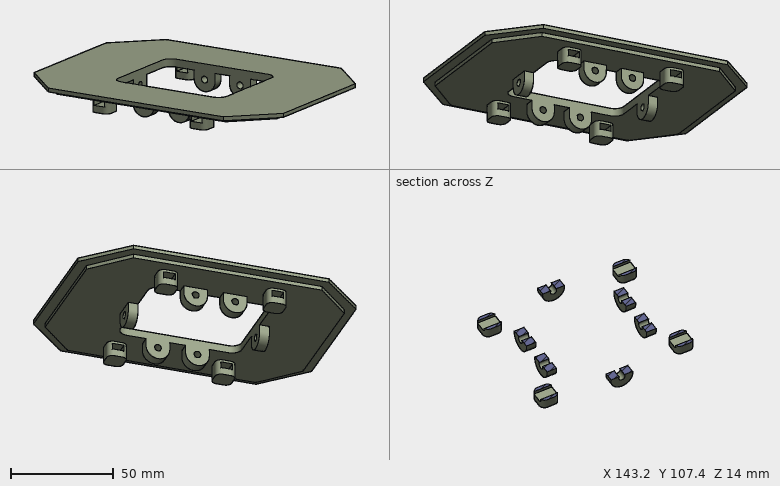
import cadquery as cq

plate_length = 143.2
plate_width = 107.4
plate_thickness = 2.0
plate_corner_x = 21.3
plate_corner_y = 20.9

step_length = 132.7
step_width = 97.2
step_thickness = 2.0
step_corner_x = 17.9
step_corner_y = 18.2
step_bottom = -(plate_thickness + step_thickness)

opening_length = 62.6
opening_width = 50.1
opening_radius = 5.0

total_height = 14.0
lug_width = 12.2
lug_radius = lug_width / 2
lug_hole_diameter = 3.5
lug_hole_z = lug_radius - total_height
long_side_lug_thickness = 5.5
short_side_lug_thickness = 5.0
lug_offset_x = 10.2

post_size = 10.0
post_radius = 3.0
post_height = 8.0
post_x = 27.9
post_y = 37.7
slot_width = 6.0
slot_height = 3.2
slot_depth_below_step = 1.3


def cut_corner_plate(length, width, corner_x, corner_y, top, thickness):
    """Rectangular plate with its four corners cut off, hanging down from z = top."""
    half_x = length / 2
    half_y = width / 2
    inner_x = half_x - corner_x
    inner_y = half_y - corner_y
    outline = [
        (inner_x, half_y),
        (half_x, inner_y),
        (half_x, -inner_y),
        (inner_x, -half_y),
        (-inner_x, -half_y),
        (-half_x, -inner_y),
        (-half_x, inner_y),
        (-inner_x, half_y),
    ]
    return cq.Workplane("XY").workplane(offset=top).polyline(outline).close().extrude(-thickness)


def make_lug(edge_distance, thickness, offset, turn):
    """Lug standing outside the +Y edge of the opening, then turned about Z by 'turn' degrees."""
    lug = (
        cq.Workplane("XZ", origin=(offset, edge_distance, 0))
        .moveTo(-lug_radius, step_bottom)
        .lineTo(-lug_radius, lug_hole_z)
        .threePointArc((0, -total_height), (lug_radius, lug_hole_z))
        .lineTo(lug_radius, step_bottom)
        .close()
        .moveTo(0, lug_hole_z)
        .circle(lug_hole_diameter / 2)
        .extrude(-thickness)
    )
    return lug.rotate((0, 0, 0), (0, 0, 1), turn)


def make_post(x, y):
    """Post under the step with rounded vertical edges and a rectangular slot along Y."""
    post = (
        cq.Workplane("XY", origin=(x, y, step_bottom))
        .rect(post_size, post_size)
        .extrude(-post_height)
        .edges("|Z")
        .fillet(post_radius)
    )
    slot_z = step_bottom - slot_depth_below_step - slot_height / 2
    slot = cq.Workplane("XY").box(slot_width, post_size, slot_height).translate((x, y, slot_z))
    return post.cut(slot)


plate = cut_corner_plate(
    plate_length, plate_width, plate_corner_x, plate_corner_y, 0, plate_thickness
)
step = cut_corner_plate(
    step_length, step_width, step_corner_x, step_corner_y, -plate_thickness, step_thickness
)
result = plate.union(step)

opening = (
    cq.Workplane("XY")
    .rect(opening_length, opening_width)
    .extrude(step_bottom)
    .edges("|Z")
    .fillet(opening_radius)
)
result = result.cut(opening)

for turn in (0, 180):
    for offset in (-lug_offset_x, lug_offset_x):
        result = result.union(make_lug(opening_width / 2, long_side_lug_thickness, offset, turn))
for turn in (90, -90):
    result = result.union(make_lug(opening_length / 2, short_side_lug_thickness, 0, turn))

for x in (-post_x, post_x):
    for y in (-post_y, post_y):
        result = result.union(make_post(x, y))